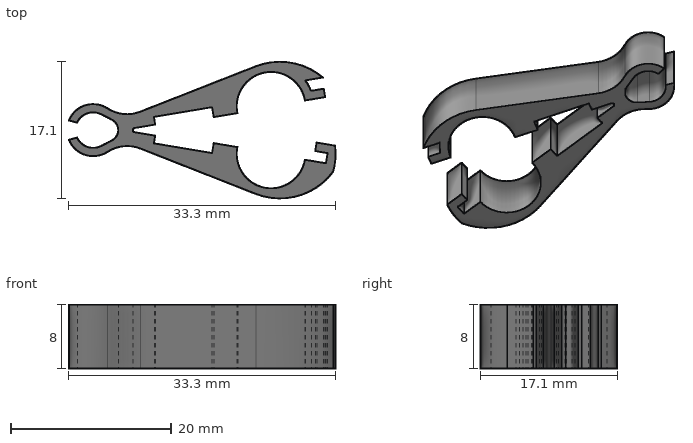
import cadquery as cq
import math

height = 8.0

ring_outer_radius = 3.26
ring_inner_radius = 2.2
mouth_outer_angle = 158.5
mouth_inner_angle = 155.5
pocket_radius = 1.45
pocket_x = 1.66

waist_radius = 4.5
flank_angle = 21.45
back_radius = 8.26
overall_width = 17.07

arm_tilt = 9.5
slit_tip_x = 5.2
slit_tip_radius = 0.25
recess_start = 7.76
recess_end = 15.08
recess_floor = 0.36
jaw_face = -0.895

grip_radius = 4.27
grip_along = 22.37
grip_across = -0.73

lip_end = 29.22
lip_top = 0.36
slot_top = 1.73
slot_floor_radius = 5.35

hook_radius = 8.06
hook_tip = 27.72
hook_top = -3.08
hook_underside = -1.98
hook_inner_wall = 29.29


def polar(center, radius, angle):
    """Point on a circle at an angle in degrees."""
    turn = math.radians(angle)
    return (center[0] + radius * math.cos(turn), center[1] + radius * math.sin(turn))


def on_arm(along, across):
    """Point given along and across the tilted arm."""
    return polar(polar(origin, along, arm_tilt), across, arm_tilt + 90)


def add_arc(path, center, radius, start_angle, end_angle):
    """Continue a path from start_angle to end_angle around a centre."""
    middle = polar(center, radius, (start_angle + end_angle) / 2)
    return path.threePointArc(middle, polar(center, radius, end_angle))


def front_angle(center, radius, across):
    """Angle at which the front of a circle reaches a distance across the arm."""
    tilt = math.radians(arm_tilt)
    center_across = center[1] * math.cos(tilt) - center[0] * math.sin(tilt)
    return arm_tilt + math.degrees(math.asin((across - center_across) / radius))


origin = (0, 0)
pocket_center = (pocket_x, 0)
slit_tip_center = (slit_tip_x, 0)
grip_center = on_arm(grip_along, grip_across)
pocket_tangent_angle = math.degrees(math.acos((ring_inner_radius - pocket_radius) / pocket_x))

waist_distance = ring_outer_radius + waist_radius
waist_angle = flank_angle + math.degrees(math.asin(waist_radius / waist_distance))
waist_center = polar(origin, waist_distance, waist_angle)

flank_normal = flank_angle + 90
back_center_y = overall_width / 2 - back_radius
flank_rise = back_center_y + back_radius * math.cos(math.radians(flank_angle))
flank_length = flank_rise / math.sin(math.radians(flank_angle))
back_center = polar(polar(origin, flank_length, flank_angle), -back_radius, flank_normal)


def half_from_ring_to_flank():
    """Path from the pocket, around the ring and waist, to the end of the flank."""
    path = cq.Workplane("XY").moveTo(pocket_x + pocket_radius, 0)
    path = add_arc(path, pocket_center, pocket_radius, 0, pocket_tangent_angle)
    path = path.lineTo(*polar(origin, ring_inner_radius, pocket_tangent_angle))
    path = add_arc(path, origin, ring_inner_radius, pocket_tangent_angle, mouth_inner_angle)
    path = path.lineTo(*polar(origin, ring_outer_radius, mouth_outer_angle))
    path = add_arc(path, origin, ring_outer_radius, mouth_outer_angle, waist_angle)
    path = add_arc(path, waist_center, waist_radius, waist_angle + 180, flank_normal + 180)
    return path.lineTo(*polar(back_center, back_radius, flank_normal))


def add_lip(path):
    """Outer back of the upper arm, then its catch slot and lip."""
    back_end = front_angle(back_center, back_radius, slot_top)
    slot_start = front_angle(grip_center, slot_floor_radius, slot_top)
    slot_end = front_angle(grip_center, slot_floor_radius, lip_top)
    path = add_arc(path, back_center, back_radius, flank_normal, back_end)
    path = path.lineTo(*polar(grip_center, slot_floor_radius, slot_start))
    path = add_arc(path, grip_center, slot_floor_radius, slot_start, slot_end)
    path = path.lineTo(*on_arm(lip_end, lip_top))
    return path.lineTo(*on_arm(lip_end, grip_across))


def add_hook(path):
    """Outer back of the lower arm, then its latching hook."""
    offset_x = back_center[0] - grip_center[0]
    offset_y = back_center[1] - grip_center[1]
    offset = math.hypot(offset_x, offset_y)
    toward_back = math.degrees(math.atan2(offset_y, offset_x))
    hook_cosine = (hook_radius**2 + offset**2 - back_radius**2) / (2 * hook_radius * offset)
    hook_start = toward_back + math.degrees(math.acos(hook_cosine))
    corner = polar(grip_center, hook_radius, hook_start)
    back_end = math.degrees(math.atan2(corner[1] - back_center[1], corner[0] - back_center[0]))

    path = add_arc(path, back_center, back_radius, flank_normal, back_end)
    hook_end = front_angle(grip_center, hook_radius, hook_top)
    path = add_arc(path, grip_center, hook_radius, hook_start, hook_end)
    path = path.lineTo(*on_arm(hook_tip, hook_top))
    path = path.lineTo(*on_arm(hook_tip, hook_underside))
    path = path.lineTo(*on_arm(hook_inner_wall, hook_underside))
    return path.lineTo(*on_arm(hook_inner_wall, grip_across))


def half_clip(add_front_end):
    """Upper half of the clip, with the given front end on its arm."""
    path = add_front_end(half_from_ring_to_flank())

    jaw_dip = math.degrees(math.asin((grip_across - jaw_face) / grip_radius))
    path = path.lineTo(*polar(grip_center, grip_radius, arm_tilt))
    path = add_arc(path, grip_center, grip_radius, arm_tilt, arm_tilt + 180 + jaw_dip)

    slit_face = slit_tip_radius - slit_tip_x * math.sin(math.radians(arm_tilt))
    path = path.lineTo(*on_arm(recess_end, jaw_face))
    path = path.lineTo(*on_arm(recess_end, recess_floor))
    path = path.lineTo(*on_arm(recess_start, recess_floor))
    path = path.lineTo(*on_arm(recess_start, slit_face))
    path = path.lineTo(*polar(slit_tip_center, slit_tip_radius, arm_tilt + 90))
    path = add_arc(path, slit_tip_center, slit_tip_radius, arm_tilt + 90, 180)
    return path.close().extrude(height)


upper_half = half_clip(add_lip)
lower_half = half_clip(add_hook).mirror("XZ")
result = upper_half.union(lower_half)